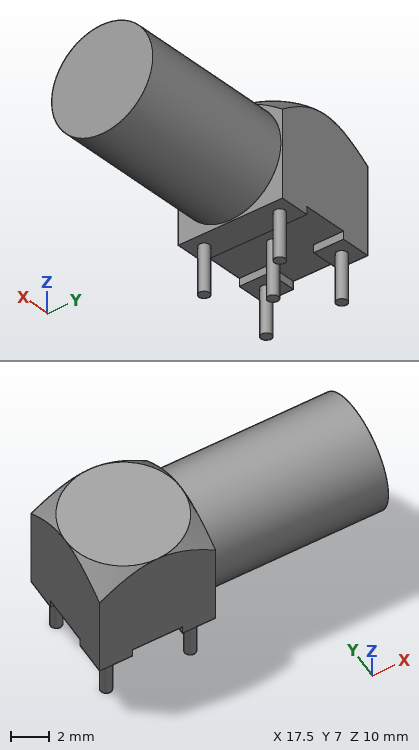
import cadquery as cq
import math


cube_side = 7.0
half_side = cube_side / 2
half_diagonal = half_side * math.sqrt(2)
corner_drop = half_diagonal - half_side
channel_width = 3.0
channel_depth = 0.5

barrel_diameter = 6.8
barrel_length = 10.5
barrel_axis_height = half_side

pin_diameter = 0.7
pin_reach = 3.0
ground_pin_pitch = 5.08


def make_housing():
    """Cube with conically trimmed top corners and a T-shaped channel underneath."""
    block = cq.Workplane("XY").box(cube_side, cube_side, cube_side, centered=(True, True, False))

    trim_profile = [
        (0, 0),
        (half_diagonal, 0),
        (half_diagonal, cube_side - corner_drop),
        (half_side, cube_side),
        (0, cube_side),
    ]
    trim_envelope = cq.Workplane("XZ").polyline(trim_profile).close().revolve(360, (0, 0), (0, 1))

    cross_channel = cq.Workplane("XY").box(
        channel_width, cube_side, channel_depth, centered=(True, True, False)
    )
    side_channel = (
        cq.Workplane("XY")
        .box(half_side, channel_width, channel_depth, centered=(False, True, False))
        .translate((-half_side, 0, 0))
    )
    return block.intersect(trim_envelope).cut(cross_channel).cut(side_channel)


def make_barrel():
    """Plain cylinder along X, seated against the +X face of the housing."""
    return (
        cq.Workplane("YZ", origin=(half_side, 0, barrel_axis_height))
        .circle(barrel_diameter / 2)
        .extrude(barrel_length)
    )


def make_pin(x, y, top):
    """Round pin from the housing face at height top down to the common pin tip level."""
    return (
        cq.Workplane("XY", origin=(x, y, -pin_reach))
        .circle(pin_diameter / 2)
        .extrude(pin_reach + top)
    )


housing = make_housing()
barrel = make_barrel()
signal_pin = make_pin(0, 0, channel_depth)

pin_offset = ground_pin_pitch / 2
ground_pins = []
for x in (-pin_offset, pin_offset):
    for y in (-pin_offset, pin_offset):
        ground_pins.append(make_pin(x, y, 0).val())

result = cq.Compound.makeCompound([housing.val(), barrel.val(), signal_pin.val(), *ground_pins])